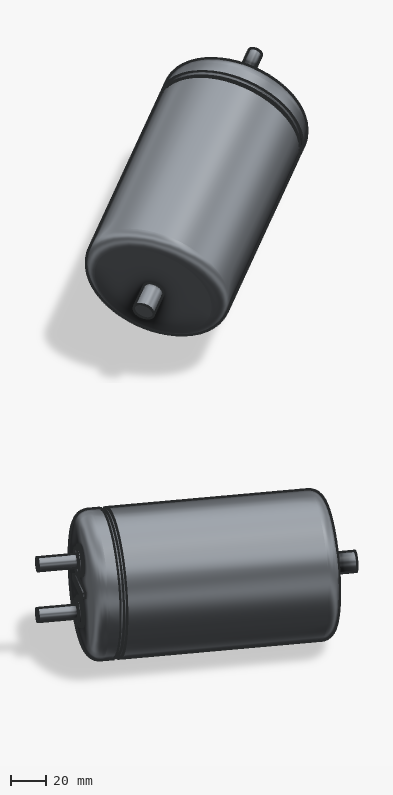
import cadquery as cq

total_length = 183.0
can_diameter = 86.0
can_length = 142.0
stud_length = 16.0
rim_radius = 7.9

groove_start = 14.3
groove_near_width = 2.2
groove_far_width = 1.6
groove_depth = 1.3
groove_step = 0.5
groove_far_radius = 7.3

stud_diameter = 12.0

terminal_spacing = 32.0
pin_diameter = 8.0
collar_diameter = 15.0
collar_height = 2.5
flange_diameter = 18.0
flange_height = 1.1

bar_length = 25.0
bar_width = 3.0
bar_height = 2.0

stud_tip = -total_length / 2
can_bottom = stud_tip + stud_length
can_top = can_bottom + can_length
pin_length = total_length / 2 - can_top
can_radius = can_diameter / 2

groove_near_radius = (groove_near_width**2 + groove_depth**2) / (2 * groove_depth)


def cylinder(diameter, start, length, z=0.0):
    """Cylinder along +Y from the given start."""
    base = cq.Plane(origin=(0, start, z), xDir=(1, 0, 0), normal=(0, 1, 0))
    return cq.Workplane(base).circle(diameter / 2).extrude(length)


def make_can():
    """Can with rounded rims and a shallow round groove."""
    can = cylinder(can_diameter, can_bottom, can_length)
    can = can.faces("<Y or >Y").edges().fillet(rim_radius)
    near_edge = can_top - groove_start
    deepest = near_edge - groove_near_width
    far_edge = deepest - groove_far_width
    floor_radius = can_radius - groove_depth
    groove = (
        cq.Workplane("XY")
        .moveTo(floor_radius, deepest)
        .radiusArc((can_radius, near_edge), groove_near_radius)
        .lineTo(can_radius, far_edge)
        .lineTo(can_radius - groove_step, far_edge)
        .radiusArc((floor_radius, deepest), groove_far_radius)
        .close()
        .revolve(360, (0, 0, 0), (0, 1, 0))
    )
    return can.cut(groove)


def make_terminal(z):
    """Pin standing on a stepped collar."""
    flange = cylinder(flange_diameter, can_top, flange_height, z)
    collar = cylinder(collar_diameter, can_top, collar_height, z)
    pin = cylinder(pin_diameter, can_top, pin_length, z)
    return flange.union(collar).union(pin)


def make_bar():
    """Flat bar across the middle of the terminal end."""
    bar = cq.Workplane("XY").box(bar_length, bar_height, bar_width)
    return bar.translate((0, can_top + bar_height / 2, 0))


result = make_can()
result = result.union(cylinder(stud_diameter, stud_tip, stud_length))
for side in (-1, 1):
    result = result.union(make_terminal(side * terminal_spacing / 2))
result = result.union(make_bar())